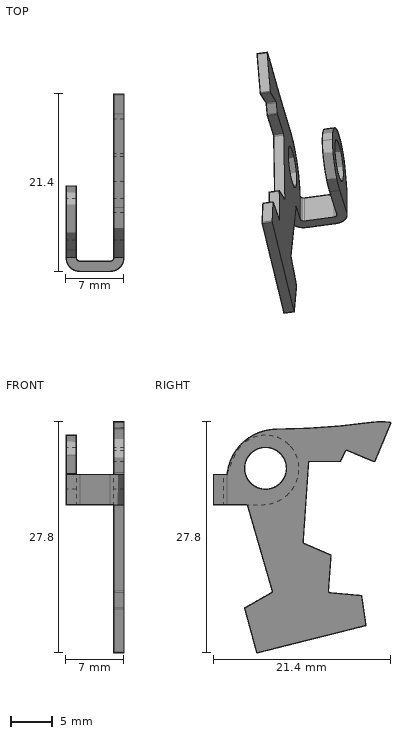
import cadquery as cq
import math


sheet = 1.25
width = 7.0
inner_bend = 0.42
outer_bend = inner_bend + sheet
front_y = -6.3
bend_y = front_y + outer_bend
strap_top = -0.72
strap_bottom = -4.4

bore_radius = 2.5
lug_radius = 4.0
shoulder_rise = 0.1
lug_shoulder = (bend_y, strap_top + shoulder_rise)

crown_radius = 6.07
crown_center = (1.4, -1.35)
crown_start = (crown_center[0], crown_center[1] + crown_radius)

corner_round = 0.15
beak_tip = (15.15, 5.55)
beak_crest = (13.93, 5.63)
beak_end = (12.7, 5.55)
brow_middle = (7.1, 4.95)
leg_top = (-2.2, strap_bottom)
lower_corners = [
    leg_top,
    (0.84, -14.9),
    (-2.54, -16.83),
    (-1.05, -22.25),
    (12.12, -18.95),
    (11.6, -15.32),
    (7.58, -14.95),
    (7.9, -10.45),
    (4.55, -9.0),
    (5.2, 0.8),
    (9.03, 0.8),
    (9.7, 2.2),
    (13.15, 0.75),
    beak_tip,
]


def point_on_circle(center, radius, angle):
    return (center[0] + radius * math.cos(angle), center[1] + radius * math.sin(angle))


def make_plate():
    end_angle = math.pi - math.acos((crown_center[0] - bend_y) / crown_radius)
    middle_angle = (end_angle + math.pi / 2) / 2
    crown_end = point_on_circle(crown_center, crown_radius, end_angle)
    crown_middle = point_on_circle(crown_center, crown_radius, middle_angle)
    outline = cq.Workplane("YZ").moveTo(bend_y, leg_top[1])
    for corner in lower_corners:
        outline = outline.lineTo(*corner)
    plate = (
        outline.threePointArc(beak_crest, beak_end)
        .threePointArc(brow_middle, crown_start)
        .threePointArc(crown_middle, crown_end)
        .close()
        .extrude(sheet)
    )
    for y, z in lower_corners:
        plate = plate.edges(cq.selectors.NearestToPointSelector((sheet / 2, y, z))).fillet(corner_round)
    return plate.translate((width - sheet, 0, 0))


def make_lug():
    shoulder_distance = math.hypot(*lug_shoulder)
    shoulder_angle = math.atan2(lug_shoulder[1], lug_shoulder[0]) + 2 * math.pi
    tangent_angle = shoulder_angle - math.acos(lug_radius / shoulder_distance)
    tangent_point = point_on_circle((0, 0), lug_radius, tangent_angle)
    eye_middle = point_on_circle((0, 0), lug_radius, tangent_angle / 2)
    base_radius = -strap_bottom
    base_center = (lug_radius - base_radius, 0)
    base_middle = point_on_circle(base_center, base_radius, -math.pi / 4)
    return (
        cq.Workplane("YZ")
        .moveTo(bend_y, strap_bottom)
        .lineTo(*lug_shoulder)
        .lineTo(*tangent_point)
        .threePointArc(eye_middle, (lug_radius, 0))
        .threePointArc(base_middle, (base_center[0], strap_bottom))
        .close()
        .extrude(sheet)
    )


def make_strap():
    inner_y = front_y + sheet
    return (
        cq.Workplane("XY", origin=(0, 0, strap_bottom))
        .moveTo(0, bend_y)
        .radiusArc((outer_bend, front_y), -outer_bend)
        .lineTo(width - outer_bend, front_y)
        .radiusArc((width, bend_y), -outer_bend)
        .lineTo(width - sheet, bend_y)
        .radiusArc((width - outer_bend, inner_y), inner_bend)
        .lineTo(outer_bend, inner_y)
        .radiusArc((sheet, bend_y), inner_bend)
        .close()
        .extrude(strap_top - strap_bottom)
    )


bore = cq.Workplane("YZ").circle(bore_radius).extrude(width)
result = make_plate().union(make_strap()).union(make_lug()).cut(bore)